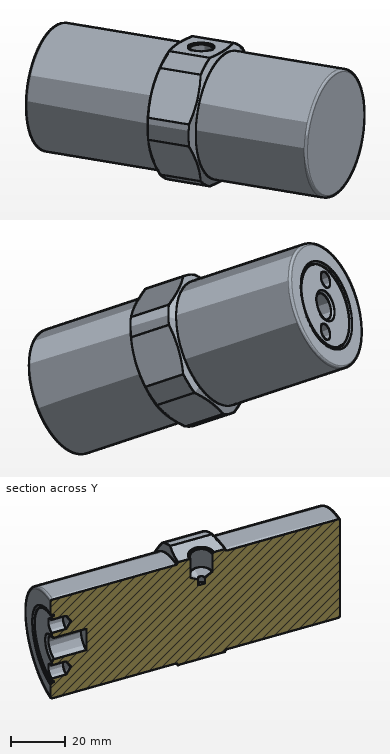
import cadquery as cq
import math

body_length = 116
body_diameter = 48.0
body_edge_radius = 0.9

collar_sides = 6
collar_flats = 50.0
collar_corner_diameter = 53.5
collar_width = 20.0
collar_center_x = 2.4
collar_chamfer_start_diameter = body_diameter
collar_chamfer_angle = 30

recess_rim_diameter = 33.9
plug_bore_diameter = 32.2
plug_diameter = 31.8
plug_depth = 0.5
plug_gap_depth = 1.4

center_hole_diameter = 10.1
center_hole_rim_diameter = 12.0
center_hole_depth = 13.9

spanner_hole_diameter = 6.1
spanner_hole_offset = 11.0
spanner_hole_depth = 5.8

port_diameter = 8.6
port_rim_diameter = 9.7
port_depth = 9.3
port_bore_diameter = 2.5
port_bore_depth = 13.9

drill_tip_angle = 118

end_x = -body_length / 2
plug_x = end_x + plug_depth
collar_top = collar_flats / 2


def tip_height(diameter_change):
    """Axial length of a drill cone over the given change of diameter."""
    return diameter_change / 2 / math.tan(math.radians(drill_tip_angle / 2))


def hole_cutter(profile):
    """Solid turned about Z from (radius, depth) points; the mouth is at Z = 0."""
    mouth_center = (0, 0)
    points = [mouth_center] + [(radius, -depth) for radius, depth in profile]
    return cq.Workplane("XZ").polyline(points).close().revolve(360, (0, 0, 0), (0, 1, 0))


def in_end_face(cutter, x, z=0):
    """Turn a cutter so that it enters towards +X, with its mouth at the given place."""
    return cutter.rotate((0, 0, 0), (0, 1, 0), -90).translate((x, 0, z))


def make_body():
    body = cq.Workplane("YZ").circle(body_diameter / 2).extrude(body_length)
    return body.translate((end_x, 0, 0)).faces("<X or >X").edges().fillet(body_edge_radius)


def make_collar():
    corner_to_corner = collar_flats / math.cos(math.pi / collar_sides)
    half_width = collar_width / 2
    hexagon = (
        cq.Workplane("YZ")
        .polygon(collar_sides, corner_to_corner)
        .extrude(half_width, both=True)
    )

    corner_radius = collar_corner_diameter / 2
    face_radius = collar_chamfer_start_diameter / 2
    chamfer_width = (corner_radius - face_radius) * math.tan(math.radians(collar_chamfer_angle))
    shoulder_x = half_width - chamfer_width
    envelope = (
        cq.Workplane("XY")
        .polyline([
            (-half_width, 0),
            (-half_width, face_radius),
            (-shoulder_x, corner_radius),
            (shoulder_x, corner_radius),
            (half_width, face_radius),
            (half_width, 0),
        ])
        .close()
        .revolve(360, (0, 0, 0), (1, 0, 0))
    )
    return hexagon.intersect(envelope).translate((collar_center_x, 0, 0))


def make_plug_recess():
    rim_radius = recess_rim_diameter / 2
    bore_radius = plug_bore_diameter / 2
    plug_radius = plug_diameter / 2
    cutter = hole_cutter([
        (rim_radius, 0),
        (bore_radius, rim_radius - bore_radius),
        (bore_radius, plug_gap_depth),
        (plug_radius, plug_gap_depth),
        (plug_radius, plug_depth),
        (0, plug_depth),
    ])
    return in_end_face(cutter, end_x)


def make_center_hole():
    radius = center_hole_diameter / 2
    rim_radius = center_hole_rim_diameter / 2
    cutter = hole_cutter([
        (rim_radius, 0),
        (radius, rim_radius - radius),
        (radius, center_hole_depth),
        (0, center_hole_depth),
    ])
    return in_end_face(cutter, plug_x)


def make_spanner_hole(z):
    radius = spanner_hole_diameter / 2
    cutter = hole_cutter([
        (radius, 0),
        (radius, spanner_hole_depth),
        (0, spanner_hole_depth + tip_height(spanner_hole_diameter)),
    ])
    return in_end_face(cutter, plug_x, z)


def make_port():
    radius = port_diameter / 2
    rim_radius = port_rim_diameter / 2
    bore_radius = port_bore_diameter / 2
    cutter = hole_cutter([
        (rim_radius, 0),
        (radius, rim_radius - radius),
        (radius, port_depth),
        (bore_radius, port_depth + tip_height(port_diameter - port_bore_diameter)),
        (bore_radius, port_bore_depth),
        (0, port_bore_depth),
    ])
    return cutter.translate((collar_center_x, 0, collar_top))


result = make_body().union(make_collar())
result = result.cut(make_plug_recess()).cut(make_center_hole()).cut(make_port())
for z in (-spanner_hole_offset, spanner_hole_offset):
    result = result.cut(make_spanner_hole(z))